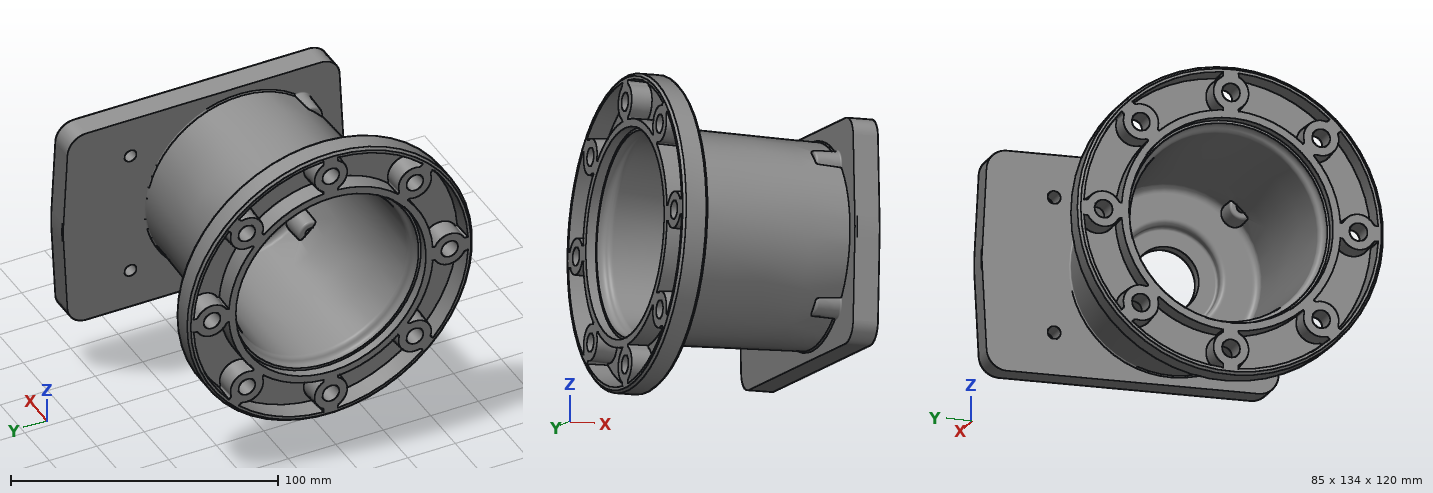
import cadquery as cq
import math

TOTAL_LENGTH = 85.0
FLANGE_RADIUS = 60.0
FLANGE_THICKNESS = 10.0
FLANGE_CHAMFER = 1.0
PLATE_THICKNESS = 10.0
PLATE_FRONT = TOTAL_LENGTH - PLATE_THICKNESS

TUBE_RADIUS_AT_FLANGE = 41.0
TUBE_RADIUS_AT_PLATE = 39.2
TUBE_FILLET = 1.0
TUBE_BASE_FILLET = 0.6
CAVITY_RADIUS_FRONT = 36.8
CAVITY_RADIUS_BACK = 34.8
CAVITY_FILLET = 2.8

MOUTH_RADIUS = 40.0
MOUTH_DEPTH = 4.0
SEAT_RADIUS = 39.0
SEAT_DEPTH = 5.2
THROAT_END = 9.7

FLOOR_SEAT_RADIUS = 20.0
FLOOR_SEAT_DEPTH = 5.0
FLOOR_SEAT_LIP_FILLET = 2.0
FLOOR_SEAT_BOTTOM_FILLET = 1.0
SHAFT_HOLE_RADIUS = 25.4 / 2

POCKET_INNER_RADIUS = 43.0
POCKET_OUTER_RADIUS = 57.8
POCKET_DEPTH = 8.0
POCKET_DRAFT = 3.0
BOLT_COUNT = 8
BOLT_CIRCLE_RADIUS = 50.0
BOLT_HOLE_DIAMETER = 7.0
BOLT_BOSS_RADIUS = 7.3
BOLT_BOSS_DRAFT = 3.0
BOLT_BOSS_WEB_WIDTH = 6.8
BOLT_BOSS_WEB_LENGTH = 20.0
BOLT_BOSS_WEB_FILLET = 0.6

PLATE_APEX_LEFT = 74.0
PLATE_APEX_RIGHT = -44.3
PLATE_HALF_HEIGHT = 43.0
PLATE_SIDE_SLOPE = 3.0
PLATE_CORNER_RADIUS = 8.0
PLATE_APEX_RADIUS = 75.0
PLATE_APEX_LIP = 1.0

SCREW_Y_NEAR = -25.2
SCREW_Y_FAR = 45.6
SCREW_Z = 26.4
SCREW_HOLE_DIAMETER = 5.0
SCREW_BOSS_RADIUS = 5.0
SCREW_BOSS_BASE_RADIUS = 5.4
SCREW_BOSS_LENGTH = 10.0
SCREW_BOSS_FILLET = 1.0


def disc(radius, start, length):
    """Cylinder on the bore axis running from X = start towards +X."""
    return cq.Workplane("YZ", origin=(start, 0, 0)).circle(radius).extrude(length)


def cone(radius_start, radius_end, start, end):
    """Truncated cone on the bore axis."""
    profile = [(start, 0), (end, 0), (end, radius_end), (start, radius_start)]
    return cq.Workplane("XY").polyline(profile).close().revolve(360, (0, 0, 0), (1, 0, 0))


def make_flange():
    return disc(FLANGE_RADIUS, 0, FLANGE_THICKNESS).edges().chamfer(FLANGE_CHAMFER)


def make_plate():
    """Rear plate whose apex edges are sharp on a thin front lip and rounded behind it."""
    drop = PLATE_HALF_HEIGHT * math.tan(math.radians(PLATE_SIDE_SLOPE))
    outline = [
        (PLATE_APEX_LEFT, 0),
        (PLATE_APEX_LEFT - drop, PLATE_HALF_HEIGHT),
        (PLATE_APEX_RIGHT + drop, PLATE_HALF_HEIGHT),
        (PLATE_APEX_RIGHT, 0),
        (PLATE_APEX_RIGHT + drop, -PLATE_HALF_HEIGHT),
        (PLATE_APEX_LEFT - drop, -PLATE_HALF_HEIGHT),
    ]
    apexes = cq.selectors.BoxSelector(
        (PLATE_FRONT, PLATE_APEX_RIGHT - 1, -1),
        (TOTAL_LENGTH, PLATE_APEX_LEFT + 1, 1),
    )

    def slab(start, length):
        blank = cq.Workplane("YZ", origin=(start, 0, 0)).polyline(outline).close().extrude(length)
        corners = cq.selectors.SubtractSelector(cq.selectors.ParallelDirSelector(cq.Vector(1, 0, 0)), apexes)
        return blank.edges(corners).fillet(PLATE_CORNER_RADIUS)

    lip = slab(PLATE_FRONT, PLATE_APEX_LIP)
    body = slab(PLATE_FRONT + PLATE_APEX_LIP, PLATE_THICKNESS - PLATE_APEX_LIP)
    return lip.union(body.edges("|X").edges(apexes).fillet(PLATE_APEX_RADIUS))


def make_tube():
    tube = cone(TUBE_RADIUS_AT_FLANGE, TUBE_RADIUS_AT_PLATE, FLANGE_THICKNESS, PLATE_FRONT)
    collar = cone(
        TUBE_RADIUS_AT_FLANGE + TUBE_FILLET,
        TUBE_RADIUS_AT_FLANGE,
        FLANGE_THICKNESS,
        FLANGE_THICKNESS + TUBE_FILLET,
    )
    return tube.union(collar)


def make_cavity():
    """Tapered bore behind a stepped mouth, joined by a smooth S-shaped throat."""
    bore = cone(CAVITY_RADIUS_FRONT, CAVITY_RADIUS_BACK, THROAT_END, PLATE_FRONT)
    bore = bore.faces(">X").edges().fillet(CAVITY_FILLET)
    throat_mid = ((SEAT_DEPTH + THROAT_END) / 2, (SEAT_RADIUS + CAVITY_RADIUS_FRONT) / 2)
    mouth = (
        cq.Workplane("XY")
        .lineTo(0, MOUTH_RADIUS)
        .lineTo(MOUTH_DEPTH, MOUTH_RADIUS)
        .lineTo(MOUTH_DEPTH, SEAT_RADIUS)
        .lineTo(SEAT_DEPTH, SEAT_RADIUS)
        .tangentArcPoint(throat_mid, relative=False)
        .tangentArcPoint((THROAT_END, CAVITY_RADIUS_FRONT), relative=False)
        .lineTo(THROAT_END, 0)
        .close()
        .revolve(360, (0, 0, 0), (1, 0, 0))
    )
    return bore.union(mouth)


def make_floor_seat():
    """Recess in the cavity floor with a rounded lip and a rounded bottom edge."""
    lip_radius = FLOOR_SEAT_RADIUS + FLOOR_SEAT_LIP_FILLET
    bottom = PLATE_FRONT + FLOOR_SEAT_DEPTH
    lip_end = PLATE_FRONT + FLOOR_SEAT_LIP_FILLET
    diagonal = 1 - math.sqrt(0.5)
    lip_mid = (
        PLATE_FRONT + FLOOR_SEAT_LIP_FILLET * diagonal,
        FLOOR_SEAT_RADIUS + FLOOR_SEAT_LIP_FILLET * diagonal,
    )
    bottom_mid = (
        bottom - FLOOR_SEAT_BOTTOM_FILLET * diagonal,
        FLOOR_SEAT_RADIUS - FLOOR_SEAT_BOTTOM_FILLET * diagonal,
    )
    return (
        cq.Workplane("XY")
        .moveTo(PLATE_FRONT, 0)
        .lineTo(PLATE_FRONT, lip_radius)
        .threePointArc(lip_mid, (lip_end, FLOOR_SEAT_RADIUS))
        .lineTo(bottom - FLOOR_SEAT_BOTTOM_FILLET, FLOOR_SEAT_RADIUS)
        .threePointArc(bottom_mid, (bottom, FLOOR_SEAT_RADIUS - FLOOR_SEAT_BOTTOM_FILLET))
        .lineTo(bottom, 0)
        .close()
        .revolve(360, (0, 0, 0), (1, 0, 0))
    )


def make_bolt_boss(angle):
    """Drafted round boss joined to both pocket walls by a narrow radial web."""
    outline = (
        cq.Sketch()
        .circle(BOLT_BOSS_RADIUS)
        .rect(BOLT_BOSS_WEB_LENGTH, BOLT_BOSS_WEB_WIDTH)
        .clean()
        .vertices()
        .fillet(BOLT_BOSS_WEB_FILLET)
    )
    boss = (
        cq.Workplane("YZ", origin=(POCKET_DEPTH, BOLT_CIRCLE_RADIUS, 0))
        .placeSketch(outline)
        .extrude(-POCKET_DEPTH, taper=BOLT_BOSS_DRAFT)
    )
    return boss.rotate((0, 0, 0), (1, 0, 0), angle)


def make_pocket():
    narrowing = POCKET_DEPTH * math.tan(math.radians(POCKET_DRAFT))
    pocket = cone(POCKET_OUTER_RADIUS, POCKET_OUTER_RADIUS - narrowing, 0, POCKET_DEPTH)
    pocket = pocket.cut(disc(POCKET_INNER_RADIUS, 0, POCKET_DEPTH))
    for index in range(BOLT_COUNT):
        pocket = pocket.cut(make_bolt_boss(index * 360 / BOLT_COUNT))
    return pocket


def make_bolt_holes():
    return (
        cq.Workplane("YZ")
        .polarArray(BOLT_CIRCLE_RADIUS, 0, 360, BOLT_COUNT)
        .circle(BOLT_HOLE_DIAMETER / 2)
        .extrude(FLANGE_THICKNESS)
    )


def make_screw_bosses():
    taper = math.degrees(math.atan((SCREW_BOSS_BASE_RADIUS - SCREW_BOSS_RADIUS) / SCREW_BOSS_LENGTH))
    return (
        cq.Workplane("YZ", origin=(PLATE_FRONT, 0, 0))
        .pushPoints([(SCREW_Y_NEAR, SCREW_Z), (SCREW_Y_NEAR, -SCREW_Z)])
        .circle(SCREW_BOSS_BASE_RADIUS)
        .extrude(-SCREW_BOSS_LENGTH, taper=taper)
        .faces("<X")
        .edges()
        .fillet(SCREW_BOSS_FILLET)
    )


def make_screw_holes():
    length = PLATE_THICKNESS + SCREW_BOSS_LENGTH
    centres = [(y, z) for y in (SCREW_Y_NEAR, SCREW_Y_FAR) for z in (SCREW_Z, -SCREW_Z)]
    return (
        cq.Workplane("YZ", origin=(TOTAL_LENGTH, 0, 0))
        .pushPoints(centres)
        .circle(SCREW_HOLE_DIAMETER / 2)
        .extrude(-length)
    )


def make_casting():
    """Flange, tube, plate and screw bosses, blended together where they meet.

    The short stretch of tube between the two bosses meets the plate at a sharp corner.
    """
    casting = make_flange().union(make_tube()).union(make_plate()).union(make_screw_bosses())
    boss_outer_side = SCREW_Y_NEAR - SCREW_BOSS_BASE_RADIUS
    reach = TUBE_RADIUS_AT_PLATE
    base = cq.selectors.BoxSelector(
        (PLATE_FRONT - TUBE_BASE_FILLET, boss_outer_side, -reach),
        (PLATE_FRONT + TUBE_BASE_FILLET, reach, reach),
    )
    return casting.edges(base).fillet(TUBE_BASE_FILLET)


result = (
    make_casting()
    .cut(make_cavity().cut(make_screw_bosses()))
    .cut(make_floor_seat())
    .cut(disc(SHAFT_HOLE_RADIUS, PLATE_FRONT, PLATE_THICKNESS))
    .cut(make_pocket())
    .cut(make_bolt_holes())
    .cut(make_screw_holes())
)